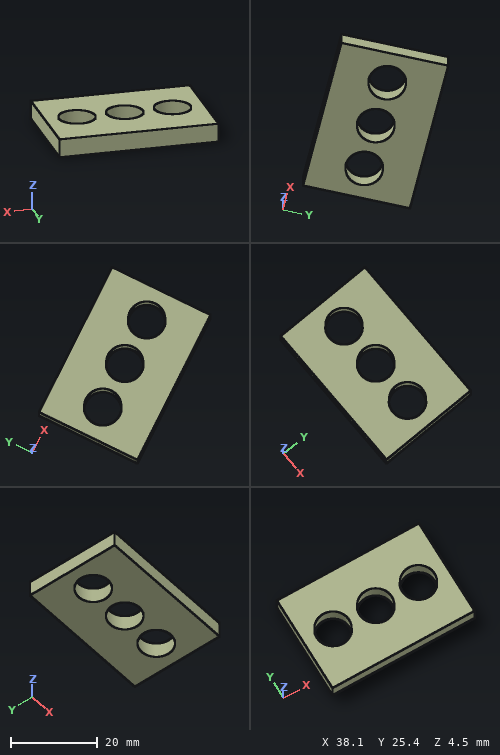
import cadquery as cq

plate_length = 38.1
plate_width = 25.4
plate_thickness = 4.5

hole_diameter = 8.64
hole_pitch = 11.43
hole_count = 3


def make_plate():
    """Flat rectangular plate centred on the origin."""
    return cq.Workplane("XY").box(plate_length, plate_width, plate_thickness)


def drill_hole_row(plate):
    """Evenly spaced through holes, centred on the top face."""
    return (
        plate.faces(">Z")
        .workplane()
        .rarray(hole_pitch, 1, hole_count, 1)
        .hole(hole_diameter)
    )


result = drill_hole_row(make_plate())